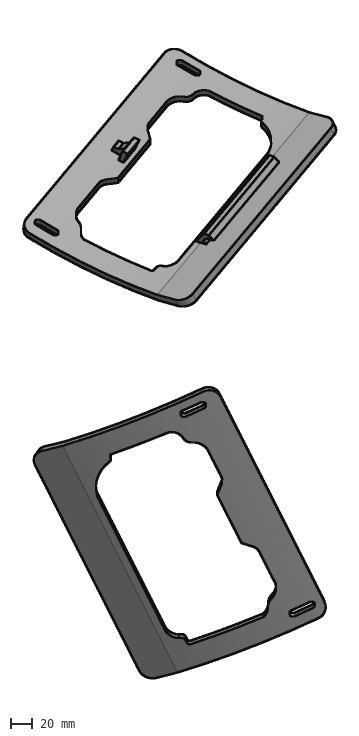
import cadquery as cq
import math

LENGTH_Y = 256.0
THICKNESS = 7.5
OUTER_RADIUS = 435.5
LOWEST_X = -24.3
LEFT_BOTTOM_X = -93.2
CREASE_TOP_X = 58.6
TAIL_END_TOP = (89.6, 25.5)
TAIL_END_BOTTOM = (93.5, 18.2)
CORNER_RADIUS = 12.0
CUT_HEIGHT = 76.8

OPENING_LEFT_X = -60.7
OPENING_RIGHT_X = 52.2
OPENING_HALF_Y = 104.5
TONGUE_X = -49.7
TONGUE_HALF_Y = 27.1
TONGUE_ROOT_RADIUS = 10.2

SLOT_LENGTH = 24.8
SLOT_WIDTH = 6.7
SLOT_CENTRES = [(-65.5, 115.8), (-72.0, -113.0)]

HOOK_WIDTH = 110.0
HOOK_TOP_Z = 32.5
CLIP_WIDTH = 19.5
CLIP_TOP_Z = 24.5
NUB_WIDTH = 8.7
NUB_STEP_Z = 16.5


def arc_point(radius, angle):
    """XZ point on a circle about the plate's centre of curvature."""
    return (LOWEST_X + radius * math.sin(angle), OUTER_RADIUS - radius * math.cos(angle))


def extrude_profile(sketch, width):
    """Close an XZ sketch and extrude it to a width centred on Y = 0."""
    return sketch.close().extrude(width / 2, both=True)


def make_plate():
    inner_radius = OUTER_RADIUS - THICKNESS
    left = math.asin((LEFT_BOTTOM_X - LOWEST_X) / OUTER_RADIUS)
    crease = math.asin((CREASE_TOP_X - LOWEST_X) / inner_radius)
    middle = (left + crease) / 2
    sketch = (
        cq.Workplane("XZ")
        .moveTo(*arc_point(OUTER_RADIUS, left))
        .threePointArc(arc_point(OUTER_RADIUS, middle), arc_point(OUTER_RADIUS, crease))
        .lineTo(*TAIL_END_BOTTOM)
        .lineTo(*TAIL_END_TOP)
        .lineTo(*arc_point(inner_radius, crease))
        .threePointArc(arc_point(inner_radius, middle), arc_point(inner_radius, left))
    )
    plate = extrude_profile(sketch, LENGTH_Y)
    end_faces = plate.faces("<X").add(plate.faces(">X"))
    return end_faces.edges("<Y or >Y").fillet(CORNER_RADIUS)


def make_opening():
    """Cutter for the central opening, traced clockwise from the tongue's upper corner."""
    wall_y = TONGUE_HALF_Y + TONGUE_X - OPENING_LEFT_X
    half_turn = math.radians(22.5)
    tangent = TONGUE_ROOT_RADIUS * math.tan(half_turn)
    slant = tangent * math.sqrt(0.5)
    root_x = OPENING_LEFT_X + TONGUE_ROOT_RADIUS * (1 - math.cos(half_turn))
    root_y = wall_y + tangent - TONGUE_ROOT_RADIUS * math.sin(half_turn)
    outline = (
        cq.Workplane("XY")
        .moveTo(TONGUE_X, TONGUE_HALF_Y)
        .lineTo(OPENING_LEFT_X + slant, wall_y - slant)
        .threePointArc((root_x, root_y), (OPENING_LEFT_X, wall_y + tangent))
        .lineTo(OPENING_LEFT_X, 72.7)
        .threePointArc((-57.5, 80.7), (-50.5, 86.0))
        .threePointArc((-47.0, 88.9), (-45.5, 92.7))
        .threePointArc((-42.5, 100.5), (-35.3, OPENING_HALF_Y))
        .lineTo(21.5, OPENING_HALF_Y)
        .threePointArc((23.3, 103.7), (24.0, 102.0))
        .threePointArc((24.8, 99.0), (27.1, 97.5))
        .threePointArc((45.3, 84.3), (OPENING_RIGHT_X, 68.5))
        .lineTo(OPENING_RIGHT_X, -84.5)
        .threePointArc((49.7, -90.2), (44.3, -94.8))
        .threePointArc((40.2, -96.0), (38.7, -98.5))
        .lineTo(38.7, -102.2)
        .threePointArc((38.2, -103.7), (36.5, -OPENING_HALF_Y))
        .lineTo(-37.0, -OPENING_HALF_Y)
        .threePointArc((-42.0, -101.2), (-45.0, -96.5))
        .threePointArc((-47.6, -93.0), (-51.5, -90.5))
        .threePointArc((-58.1, -85.0), (OPENING_LEFT_X, -77.9))
        .lineTo(OPENING_LEFT_X, -wall_y - tangent)
        .threePointArc((root_x, -root_y), (OPENING_LEFT_X + slant, -wall_y + slant))
        .lineTo(TONGUE_X, -TONGUE_HALF_Y)
    )
    return outline.close().extrude(CUT_HEIGHT)


def make_slots():
    return cq.Workplane("XY").pushPoints(SLOT_CENTRES).slot2D(SLOT_LENGTH, SLOT_WIDTH).extrude(CUT_HEIGHT)


def make_hook():
    """Leaning rail with a sloping crest and a lip overhanging the tail."""
    sketch = (
        cq.Workplane("XZ")
        .moveTo(52.5, 12.0)
        .lineTo(52.8, 13.8)
        .lineTo(62.5, 31.5)
        .lineTo(67.5, HOOK_TOP_Z)
        .lineTo(73.0, 28.5)
        .lineTo(71.2, 27.1)
        .lineTo(66.0, 27.1)
        .lineTo(61.5, 20.2)
        .lineTo(65.0, 17.2)
        .lineTo(65.0, 14.5)
    )
    return extrude_profile(sketch, HOOK_WIDTH)


def make_clip():
    """Leaning plate on the tongue, braced by a narrower stepped nub."""
    blade = cq.Workplane("XZ").polyline([
        (-61.2, 6.1),
        (-55.8, 6.1),
        (-50.2, CLIP_TOP_Z),
        (-56.0, CLIP_TOP_Z),
    ])
    nub = cq.Workplane("XZ").polyline([
        (-72.2, 8.2),
        (-69.5, NUB_STEP_Z),
        (-64.3, NUB_STEP_Z),
        (-56.5, 22.8),
        (-56.5, 6.1),
    ])
    return extrude_profile(blade, CLIP_WIDTH).union(extrude_profile(nub, NUB_WIDTH))


frame = make_plate().cut(make_opening()).cut(make_slots())
result = frame.union(make_hook()).union(make_clip())